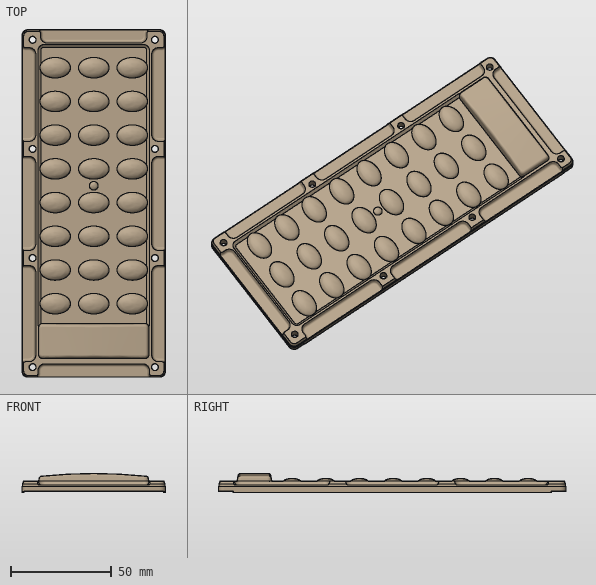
import cadquery as cq

WIDTH = 71.5
LENGTH = 173.0
CORNER_RADIUS = 3.0

LIP_DEPTH = 0.5
PARTING_Z = 3.1
FLANGE_TOP_Z = 3.6
EDGE_DRAFT_Z = 4.2
RECESS_FLOOR_Z = 4.3
FRAME_TOP_Z = 5.7
CROWN_EDGE_Z = 8.0
CROWN_TOP_Z = 9.5

PARTING_STEP = 0.2
DRAFT_ANGLE = 24.0

LIP_WIDTH = 1.0
LIP_LENGTH = 158.5

HOLE_DIAMETER = 3.3
HOLE_X = 30.5
HOLE_Y = 81.5
HOLES_PER_SIDE = 4
HOLE_PITCH = 2 * HOLE_Y / (HOLES_PER_SIDE - 1)
TOP_PAD_REACH = 4.8
BOTTOM_PAD_REACH = 3.6
MIDDLE_PAD_REACH = 4.7
PAD_CORNER_RADIUS = 2.5

CHANNEL_INNER_X = 29.8
CHANNEL_INNER_Y = 80.8
CHANNEL_FILLET = 1.0
EDGE_CLEARANCE = 0.5
FLARE = 5.2

RECESS_HALF_WIDTH = 27.7
RECESS_TOP_Y = 79.0
RECESS_BOTTOM_Y = -63.0
RECESS_CORNER_RADIUS = 2.8
RECESS_WALL_ANGLE = 45.0

LENS_COLUMNS = 3
LENS_ROWS = 8
LENS_PITCH_X = 19.2
LENS_PITCH_Y = 16.8
LENS_CENTER_Y = 8.8
LENS_HALF_LENGTH = 4.4
LENS_HALF_WIDTH = 2.95
LENS_HEIGHT = 1.6

DOME_RADIUS = 1.25
DOME_HEIGHT = 0.7

COVER_HALF_WIDTH = 27.7
COVER_TOP_Y = -59.7
COVER_BOTTOM_Y = -77.5
COVER_DRAFT = 10.0
COVER_CORNER_RADIUS = 2.2
COVER_FILLET = 1.4


def block(width, length, bottom, top, taper=0.0):
    """Rounded rectangular slab centred on the Z axis."""
    return (
        cq.Workplane("XY")
        .workplane(offset=bottom)
        .sketch()
        .rect(width, length)
        .vertices()
        .fillet(CORNER_RADIUS)
        .finalize()
        .extrude(top - bottom, taper=taper)
    )


def plate():
    """Full-size base, a small step at the parting line, then a drafted upper wall."""
    inset_width = WIDTH - 2 * PARTING_STEP
    inset_length = LENGTH - 2 * PARTING_STEP
    base = block(WIDTH, LENGTH, LIP_DEPTH, PARTING_Z)
    wall = block(inset_width, inset_length, PARTING_Z, EDGE_DRAFT_Z)
    rim = block(inset_width, inset_length, EDGE_DRAFT_Z, FRAME_TOP_Z, DRAFT_ANGLE)
    return base.union(wall).union(rim)


def lips():
    """Narrow lips that hang below the plate, flush with its long sides."""
    center_x = (WIDTH - LIP_WIDTH) / 2
    centers = [(-center_x, 0), (center_x, 0)]
    return cq.Workplane("XY").pushPoints(centers).rect(LIP_WIDTH, LIP_LENGTH).extrude(LIP_DEPTH)


def channel(start, end, depth, round_start, round_end):
    """Cutter for one channel, lying along X with its open side toward -Y.

    The inner wall is on Y = 0 and the plate edge on Y = -depth. At a rounded end
    the cutter widens beyond the plate edge, so the pad beside it gets a convex corner.
    """
    outside = -depth - EDGE_CLEARANCE
    wide_start = start - FLARE if round_start else start
    wide_end = end + FLARE if round_end else end
    outline = cq.Workplane("XY").moveTo(start, 0).lineTo(end, 0).lineTo(end, outside)
    if round_end:
        outline = outline.lineTo(wide_end, outside)
    outline = outline.lineTo(wide_end, outside - FLARE).lineTo(wide_start, outside - FLARE)
    if round_start:
        outline = outline.lineTo(wide_start, outside).lineTo(start, outside)
    height = FRAME_TOP_Z - FLANGE_TOP_Z
    straight = outline.close().extrude(height).edges("|Z").fillet(PAD_CORNER_RADIUS)
    foot = straight.faces("<Z").wires().toPending()
    drafted = foot.extrude(height, taper=-DRAFT_ANGLE, combine=False)
    return drafted.faces("<Z").edges().fillet(CHANNEL_FILLET).translate((0, 0, FLANGE_TOP_Z))


def channels():
    """Three channels on each long side and one on each short side."""
    cutters = []
    side_depth = WIDTH / 2 - CHANNEL_INNER_X
    for gap in range(HOLES_PER_SIDE - 1):
        first = gap == 0
        last = gap == HOLES_PER_SIDE - 2
        start_reach = BOTTOM_PAD_REACH if first else MIDDLE_PAD_REACH
        end_reach = TOP_PAD_REACH if last else MIDDLE_PAD_REACH
        lower_hole = -HOLE_Y + gap * HOLE_PITCH
        start = lower_hole + start_reach
        end = lower_hole + HOLE_PITCH - end_reach
        side = (
            channel(start, end, side_depth, first, last)
            .rotate((0, 0, 0), (0, 0, 1), 90)
            .translate((CHANNEL_INNER_X, 0, 0))
        )
        cutters += [side, side.mirror("YZ")]
    for direction, reach in ((-1, BOTTOM_PAD_REACH), (1, TOP_PAD_REACH)):
        half_span = HOLE_X - reach
        cross = channel(-half_span, half_span, LENGTH / 2 - CHANNEL_INNER_Y, True, True)
        cross = cross.translate((0, -CHANNEL_INNER_Y, 0))
        cutters.append(cross if direction < 0 else cross.mirror("XZ"))
    return cutters


def recess():
    """Shallow pocket with sloping walls, narrowing toward its floor."""
    return (
        cq.Workplane("XY")
        .workplane(offset=FRAME_TOP_Z)
        .center(0, (RECESS_TOP_Y + RECESS_BOTTOM_Y) / 2)
        .sketch()
        .rect(2 * RECESS_HALF_WIDTH, RECESS_TOP_Y - RECESS_BOTTOM_Y)
        .vertices()
        .fillet(RECESS_CORNER_RADIUS)
        .finalize()
        .extrude(RECESS_FLOOR_Z - FRAME_TOP_Z, taper=RECESS_WALL_ANGLE)
    )


def half_ellipsoid(half_length, half_width, height):
    """Upper half of an ellipsoid with its long axis along X, resting on the XY plane."""
    unit = cq.Solid.makeSphere(1.7, angleDegrees1=0, angleDegrees2=90)
    scale = cq.Matrix([[half_length, 0, 0, 0], [0, half_width, 0, 0], [0, 0, height, 0]])
    return cq.Workplane(obj=unit.transformGeometry(scale))


def lens_centers():
    """Centres of the lens grid."""
    for column in range(LENS_COLUMNS):
        for row in range(LENS_ROWS):
            x = (column - (LENS_COLUMNS - 1) / 2) * LENS_PITCH_X
            y = LENS_CENTER_Y + (row - (LENS_ROWS - 1) / 2) * LENS_PITCH_Y
            yield x, y


def cover():
    """Raised cover with drafted walls and a top that is an arc across the width."""
    length = COVER_TOP_Y - COVER_BOTTOM_Y
    arch = (
        cq.Workplane("XZ", origin=(0, COVER_TOP_Y, 0))
        .moveTo(-COVER_HALF_WIDTH, RECESS_FLOOR_Z)
        .lineTo(COVER_HALF_WIDTH, RECESS_FLOOR_Z)
        .lineTo(COVER_HALF_WIDTH, CROWN_EDGE_Z)
        .threePointArc((0, CROWN_TOP_Z), (-COVER_HALF_WIDTH, CROWN_EDGE_Z))
        .close()
        .extrude(length)
    )
    walls = (
        cq.Workplane("XY")
        .workplane(offset=RECESS_FLOOR_Z)
        .center(0, (COVER_TOP_Y + COVER_BOTTOM_Y) / 2)
        .sketch()
        .rect(2 * COVER_HALF_WIDTH, length)
        .vertices()
        .fillet(COVER_CORNER_RADIUS)
        .finalize()
        .extrude(CROWN_TOP_Z - RECESS_FLOOR_Z, taper=COVER_DRAFT)
    )
    return arch.intersect(walls).faces(">Z").edges().fillet(COVER_FILLET)


def screw_holes():
    """Through holes in a row along each long side."""
    centers = [
        (side * HOLE_X, -HOLE_Y + index * HOLE_PITCH)
        for side in (-1, 1)
        for index in range(HOLES_PER_SIDE)
    ]
    return cq.Workplane("XY").pushPoints(centers).circle(HOLE_DIAMETER / 2).extrude(CROWN_TOP_Z)


result = plate()
for cutter in channels():
    result = result.cut(cutter)
result = result.cut(recess()).union(cover()).union(lips())

lens = half_ellipsoid(LENS_HALF_LENGTH, LENS_HALF_WIDTH, LENS_HEIGHT)
for x, y in lens_centers():
    result = result.union(lens.translate((x, y, RECESS_FLOOR_Z)))

dome = half_ellipsoid(DOME_RADIUS, DOME_RADIUS, DOME_HEIGHT)
result = result.union(dome.translate((0, LENS_CENTER_Y, RECESS_FLOOR_Z)))

result = result.cut(screw_holes())